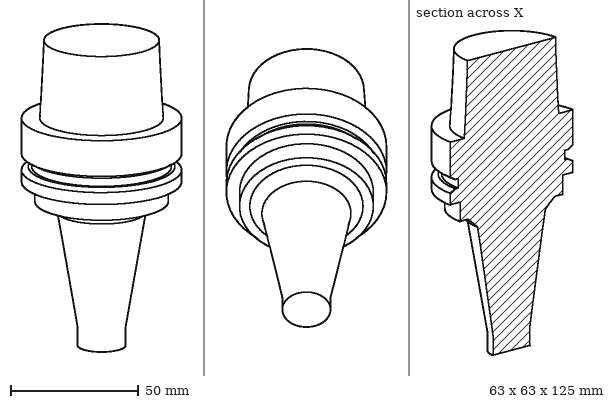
import cadquery as cq

tip_height = 7.6
cone_top = 54.9
shoulder_top = 59.0
collar_top = 67.0
lower_rim_top = 71.9
groove_bottom = 73.2
groove_top = 77.0
upper_rim_bottom = 78.5
flange_top = 93.1
total_height = 125.0

tip_diameter = 19.0
cone_diameter = 35.0
shoulder_diameter = 44.5
collar_diameter = 52.6
flange_diameter = 63.0
groove_diameter = 55.0
groove_lip_diameter = 57.8
taper_base_diameter = 48.6
taper_top_diameter = 45.4

section = [
    (0, 0),
    (tip_diameter, 0),
    (tip_diameter, tip_height),
    (cone_diameter, cone_top),
    (shoulder_diameter, shoulder_top),
    (collar_diameter, shoulder_top),
    (collar_diameter, collar_top),
    (flange_diameter, collar_top),
    (flange_diameter, lower_rim_top),
    (groove_lip_diameter, groove_bottom),
    (groove_diameter, groove_bottom),
    (groove_diameter, groove_top),
    (groove_lip_diameter, groove_top),
    (flange_diameter, upper_rim_bottom),
    (flange_diameter, flange_top),
    (taper_base_diameter, flange_top),
    (taper_top_diameter, total_height),
    (0, total_height),
]

profile = [(diameter / 2, height) for diameter, height in section]
result = cq.Workplane("XZ").polyline(profile).close().revolve(360, (0, 0, 0), (0, 1, 0))